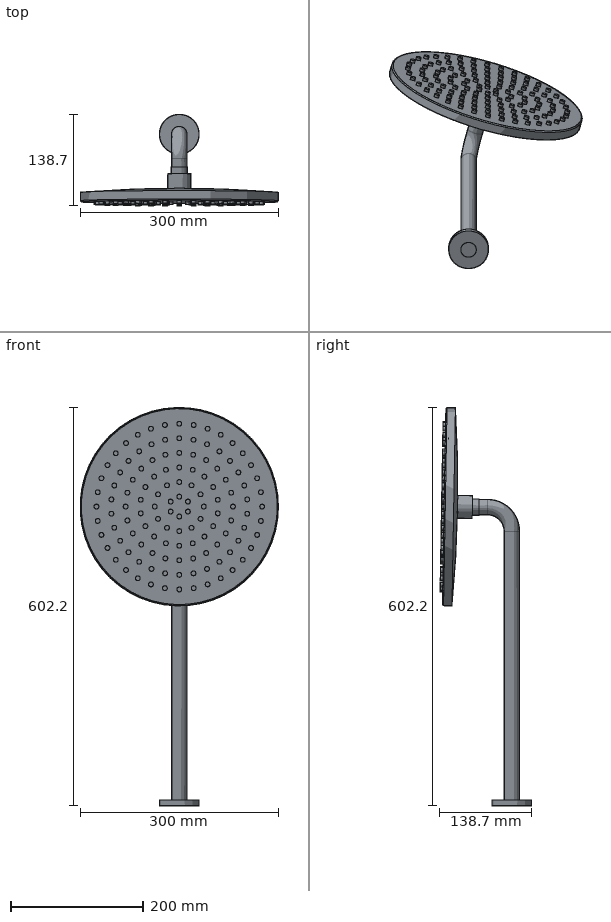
import cadquery as cq
import math

arm_height = 451.5
bend_radius = 37.0
pipe_diameter = 23.5
riser_top = arm_height - bend_radius

flange_diameter = 60.0
flange_thickness = 9.0

pipe_end = 49.5
neck_diameter = 24.5
neck_end = 59.5

tilt = math.radians(1.0)
head_diameter = 300.0
front_chamfer = 2.0
rim_thickness = 14.5
dome_rise = 6.0
front_distance = 43.0
socket_diameter = 35.0

insert_diameter = 264.0
insert_thickness = 5.0
front_wall = 5.0
nozzle_diameter = 7.0
nozzle_height = 4.0

inner_ring_radius = 15.0
outer_ring_radius = 125.0
ring_count = 6
nozzles_added_per_ring = 6
ring_spacing = (outer_ring_radius - inner_ring_radius) / (ring_count - 1)

tilted_plane = cq.Plane(
    origin=(0, -neck_end, arm_height),
    xDir=(1, 0, 0),
    normal=(0, -math.cos(tilt), math.sin(tilt)),
)


def tilted_workplane(distance):
    """Workplane square to the tilted axis, at a distance from the end of the neck."""
    return cq.Workplane(tilted_plane).workplane(offset=distance)


def make_pipe():
    """Upright riser, quarter bend and short horizontal end, as one bent bar."""
    path = (
        cq.Workplane("YZ")
        .lineTo(0, riser_top)
        .radiusArc((-bend_radius, arm_height), -bend_radius)
        .lineTo(-pipe_end, arm_height)
    )
    return cq.Workplane("XY").circle(pipe_diameter / 2).sweep(path)


def make_flange():
    """Round base with a through hole for the foot of the pipe."""
    return (
        cq.Workplane("XY")
        .circle(flange_diameter / 2)
        .circle(pipe_diameter / 2)
        .extrude(flange_thickness)
    )


def make_neck(socket):
    """Horizontal bar from the end of the pipe, trimmed to the tilted end of the socket."""
    overlap = neck_diameter * math.tan(tilt)
    plane = cq.Plane(origin=(0, -pipe_end, arm_height), xDir=(1, 0, 0), normal=(0, -1, 0))
    bar = cq.Workplane(plane).circle(neck_diameter / 2).extrude(neck_end + overlap - pipe_end)
    return bar.cut(socket)


def make_insert():
    """Backing disc with rings of nozzles that reach out past the front face."""
    wall_back = front_distance - front_wall
    insert = (
        tilted_workplane(wall_back - insert_thickness)
        .circle(insert_diameter / 2)
        .extrude(insert_thickness)
    )
    for ring in range(ring_count):
        radius = inner_ring_radius + ring * ring_spacing
        nozzles = (
            tilted_workplane(wall_back)
            .polarArray(radius, 90, 360, nozzles_added_per_ring * (ring + 1))
            .circle(nozzle_diameter / 2)
            .extrude(front_wall + nozzle_height)
        )
        insert = insert.union(nozzles)
    return insert


def make_head(insert):
    """Disc with a domed back and a chamfered front edge, hollowed to hold the insert."""
    radius = head_diameter / 2
    rim_back = front_distance - rim_thickness
    dome_top = rim_back - dome_rise
    dome_radius = (radius**2 + dome_rise**2) / (2 * dome_rise)
    middle_angle = math.asin(radius / dome_radius) / 2
    dome_middle = (
        dome_radius * math.sin(middle_angle),
        dome_top + dome_radius * (1 - math.cos(middle_angle)),
    )
    profile_plane = cq.Plane(
        origin=tilted_plane.origin,
        xDir=(1, 0, 0),
        normal=tilted_plane.yDir * -1,
    )
    disc = (
        cq.Workplane(profile_plane)
        .moveTo(0, dome_top)
        .threePointArc(dome_middle, (radius, rim_back))
        .lineTo(radius, front_distance - front_chamfer)
        .lineTo(radius - front_chamfer, front_distance)
        .lineTo(0, front_distance)
        .close()
        .revolve(360, (0, 0), (0, 1))
    )
    return disc.cut(insert)


def make_socket(head):
    """Sleeve along the tilted axis, trimmed to the domed back of the head."""
    rim_back = front_distance - rim_thickness
    return tilted_workplane(0).circle(socket_diameter / 2).extrude(rim_back).cut(head)


pipe = make_pipe()
flange = make_flange()
insert = make_insert()
head = make_head(insert)
socket = make_socket(head)
neck = make_neck(socket)

result = cq.Compound.makeCompound(
    [
        *pipe.vals(),
        *flange.vals(),
        *insert.solids().vals(),
        *head.solids().vals(),
        *socket.solids().vals(),
        *neck.solids().vals(),
    ]
)